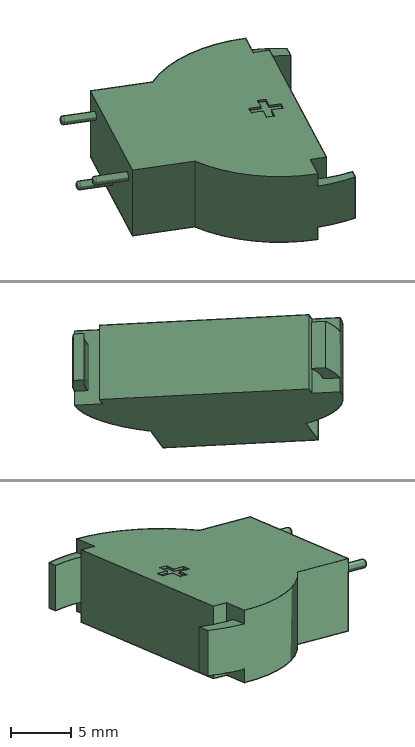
import cadquery as cq
import math


height = 6.4
rim_radius = 11.25
rim_center_y = 14.5
base_half_width = 6.58
shoulder_y = 14.7
tongue_half_width = 8.87
tongue_y = 16.1
neck_y = rim_center_y - math.sqrt(rim_radius**2 - base_half_width**2)

clip_end_y = 18.1
clip_height = 4.0
clip_bottom = (height - clip_height) / 2
clip_inner_radius = 10.0
clip_inner_center_x = 0.14
clip_inner_center_y = 15.4

mark_span = 2.75
mark_arm_width = 0.7
mark_depth = 0.2
mark_y = 13.35

pin_diameter = 0.75
pin_length = 3.0
pin_tip_radius = 0.25
pin_pitch = 5.0
pin_edge_distance = 1.5
pin_positions = [
    (-pin_pitch, height - pin_edge_distance),
    (0, pin_edge_distance),
    (pin_pitch, height - pin_edge_distance),
]


def rim_half_width(y):
    """Half width of the rim circle at position y."""
    return math.sqrt(rim_radius**2 - (y - rim_center_y) ** 2)


def make_housing():
    """Rectangular base that flares into the round rim, with a raised tongue at the back."""
    shoulder_half_width = rim_half_width(shoulder_y)
    arc_mid_y = (neck_y + shoulder_y) / 2
    arc_mid_half_width = rim_half_width(arc_mid_y)
    return (
        cq.Workplane("XY")
        .moveTo(-base_half_width, 0)
        .lineTo(base_half_width, 0)
        .lineTo(base_half_width, neck_y)
        .threePointArc((arc_mid_half_width, arc_mid_y), (shoulder_half_width, shoulder_y))
        .lineTo(tongue_half_width, shoulder_y)
        .lineTo(tongue_half_width, tongue_y)
        .lineTo(-tongue_half_width, tongue_y)
        .lineTo(-tongue_half_width, shoulder_y)
        .lineTo(-shoulder_half_width, shoulder_y)
        .threePointArc((-arc_mid_half_width, arc_mid_y), (-base_half_width, neck_y))
        .close()
        .extrude(height)
    )


def make_clips():
    """Two curved arms that continue the rim behind the shoulders."""
    level = cq.Workplane("XY", origin=(0, 0, clip_bottom))
    clip_length = clip_end_y - shoulder_y
    clip_mid_y = (shoulder_y + clip_end_y) / 2
    outer = level.center(0, rim_center_y).circle(rim_radius).extrude(clip_height)
    inner = (
        level.center(clip_inner_center_x, clip_inner_center_y)
        .circle(clip_inner_radius)
        .extrude(clip_height)
    )
    band = level.center(0, clip_mid_y).rect(2 * rim_radius, clip_length).extrude(clip_height)
    return outer.intersect(band).cut(inner)


def make_mark():
    """Plus-shaped recess in the upper face."""
    floor = cq.Workplane("XY", origin=(0, mark_y, height - mark_depth))
    along_x = floor.rect(mark_span, mark_arm_width).extrude(mark_depth)
    along_y = floor.rect(mark_arm_width, mark_span).extrude(mark_depth)
    return along_x.union(along_y)


def make_pin(x, z):
    """Round pin with a rounded tip, standing out of the pin face toward -Y."""
    return (
        cq.Workplane("XZ", origin=(x, 0, z))
        .circle(pin_diameter / 2)
        .extrude(pin_length)
        .faces("<Y")
        .edges()
        .fillet(pin_tip_radius)
    )


result = make_housing().union(make_clips()).cut(make_mark())
for pin_x, pin_z in pin_positions:
    result = result.union(make_pin(pin_x, pin_z))